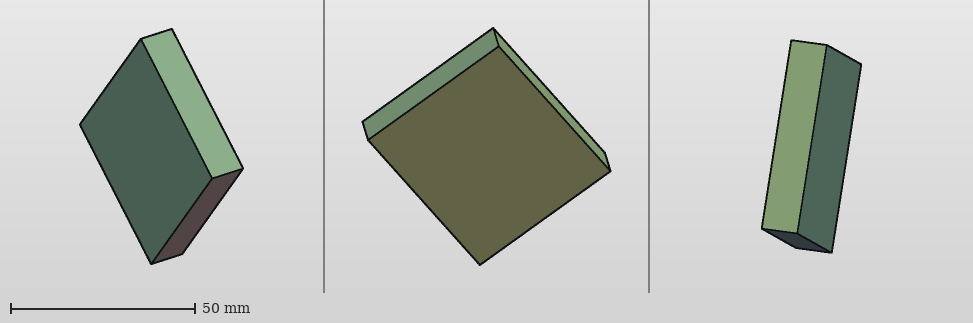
import cadquery as cq
import math

overall_height = 68.2
plate_length = 52.0
plate_thickness = 10.0
tilt_angle = 36.2

tilt = math.radians(tilt_angle)
plate_width = (overall_height - plate_length * math.cos(tilt)) / math.sin(tilt)

result = (
    cq.Workplane("XY")
    .box(plate_width, plate_thickness, plate_length)
    .rotate((0, 0, 0), (0, 1, 0), tilt_angle)
)